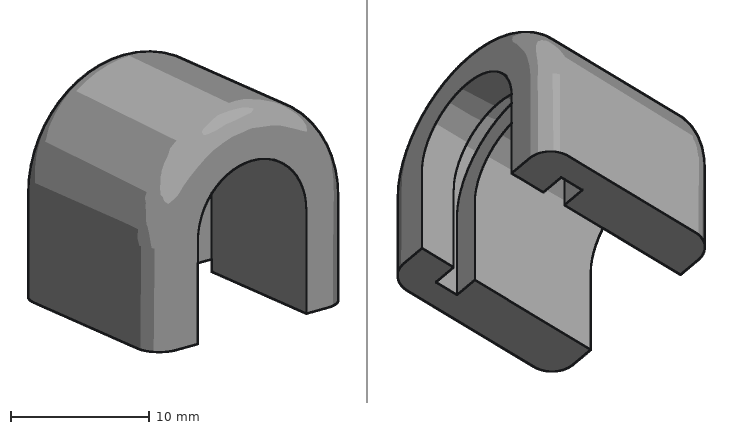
import cadquery as cq

outer_width = 18.0
length = 16.0
leg_height = 8.0
wall = 4.0
edge_radius = 2.0
groove_offset = 3.0
groove_width = 2.0
groove_depth = 2.0

outer_radius = outer_width / 2
inner_radius = outer_radius - wall


def arch(radius, start_x, depth):
    """Solid with a round top and straight legs, extruded along +X from start_x."""
    return (
        cq.Workplane("YZ", origin=(start_x, 0, 0))
        .moveTo(-radius, 0)
        .lineTo(-radius, leg_height)
        .threePointArc((0, leg_height + radius), (radius, leg_height))
        .lineTo(radius, 0)
        .close()
        .extrude(depth)
    )


body = arch(outer_radius, 0, length)
body = body.faces("<X or >X").edges("not <Z").fillet(edge_radius)

body = body.cut(arch(inner_radius, 0, length))

groove = arch(inner_radius + groove_depth, groove_offset, groove_width)
result = body.cut(groove)